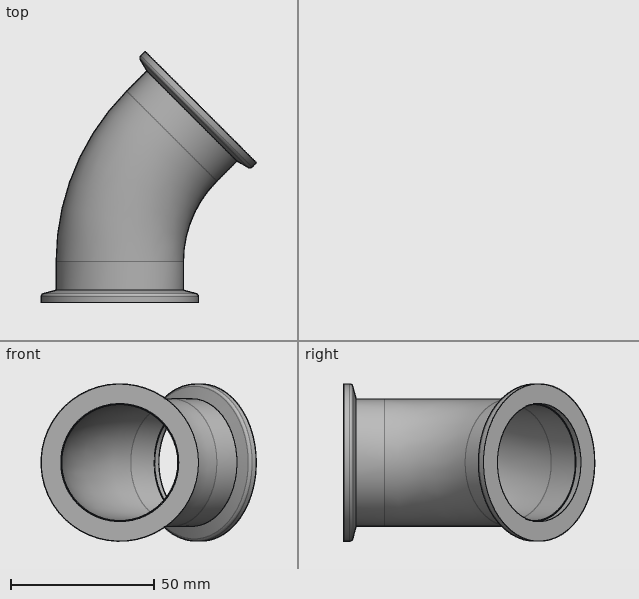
import cadquery as cq
import math

bend_angle = 45.0
bend_radius = 62.0
straight_length = 14.3

tube_radius = 22.3
bore_radius = 20.3

flange_diameter = 55.0
rim_height = 3.0
back_slope = 15.0
rim_round = 1.1

recess_radius = 20.6
recess_depth = 2.5

flange_radius = flange_diameter / 2
back_height = rim_height + (flange_radius - tube_radius) * math.tan(math.radians(back_slope))
turn = math.radians(bend_angle)
far_x = bend_radius * (1 - math.cos(turn)) + straight_length * math.sin(turn)
far_y = straight_length + bend_radius * math.sin(turn) + straight_length * math.cos(turn)

near_face = cq.Plane(origin=(0, 0, 0), xDir=(1, 0, 0), normal=(0, 1, 0))
far_face = cq.Plane(
    origin=(far_x, far_y, 0),
    xDir=(0, 0, 1),
    normal=(-math.sin(turn), -math.cos(turn), 0),
)


def bent_rod(radius):
    """Solid rod that follows the whole centre line: straight, bend, straight."""
    start = cq.Workplane(near_face).circle(radius).extrude(straight_length)
    bend = (
        cq.Workplane(near_face)
        .workplane(offset=straight_length)
        .circle(radius)
        .revolve(bend_angle, (bend_radius, 0), (bend_radius, 1))
    )
    end = cq.Workplane(far_face).circle(radius).extrude(straight_length)
    return start.union(bend).union(end)


def flange(face):
    """Clamp flange disc with a sloping back and a rounded rim."""
    slope = math.radians(back_slope)
    mid_direction = (math.pi / 2 - slope) / 2
    round_reach = rim_round * math.tan(mid_direction)
    round_start = (flange_radius, rim_height - round_reach)
    round_middle = (
        flange_radius - rim_round * (1 - math.cos(mid_direction)),
        round_start[1] + rim_round * math.sin(mid_direction),
    )
    round_end = (
        flange_radius - round_reach * math.cos(slope),
        rim_height + round_reach * math.sin(slope),
    )
    profile_plane = cq.Plane(origin=face.origin, xDir=face.xDir, normal=face.yDir * -1)
    return (
        cq.Workplane(profile_plane)
        .lineTo(flange_radius, 0)
        .lineTo(*round_start)
        .threePointArc(round_middle, round_end)
        .lineTo(tube_radius, back_height)
        .lineTo(0, back_height)
        .close()
        .revolve(360, (0, 0), (0, 1))
    )


def recess(face):
    """Shallow seat that widens the bore at a flange face."""
    return cq.Workplane(face).circle(recess_radius).extrude(recess_depth)


body = bent_rod(tube_radius).union(flange(near_face)).union(flange(far_face))
body = body.cut(bent_rod(bore_radius))
result = body.cut(recess(near_face)).cut(recess(far_face))